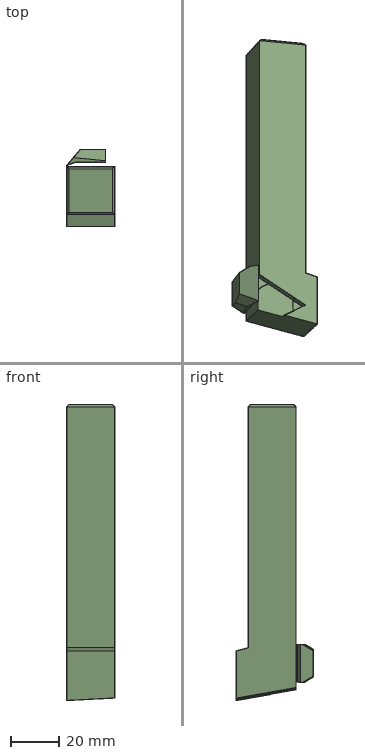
import cadquery as cq
import math

SHANK_SIZE = 20.0
TOTAL_HEIGHT = 123.0
TOP_CHAMFER = 1.0

FOOT_STEP = 5.0
FOOT_TOP_HEIGHT = 22.0
FOOT_TOP_ANGLE = 15.0
END_SLOPE_Y = 10.0
END_SLOPE_X = 3.0

POCKET_TIP_Y = -19.8
POCKET_TIP_Z = 7.85
POCKET_HALF_ANGLE = 30.0
POCKET_DEPTH = 2.5
POCKET_WALL_ANGLE = 4.0
RELIEF_EXTRA_DEPTH = 0.5
TIP_RELIEF_LENGTH = 4.6
CORNER_RELIEF_Y = -4.2
SEAT_RADIUS = 8.9
INSERT_CENTER_FROM_TIP = 12.7
SEAT_CENTER_Y = POCKET_TIP_Y + INSERT_CENTER_FROM_TIP
POCKET_REACH = 40.0

CLAMP_END_X = 16.2
CLAMP_OUTER_Y = 7.15
CLAMP_INNER_Y = 1.75
CLAMP_TIP_Y = 0.4
CLAMP_FRONT_ANGLE = 50.0
CLAMP_UNDERCUT_ANGLE = 20.0
CLAMP_BOTTOM_Z = 7.45
CLAMP_TOP_Z = 23.4
BEVEL_START_Y = 4.0
BEVEL_SLOPE_Y = math.tan(math.radians(30.0))
BEVEL_SLOPE_X = 0.058

FRONT_RELIEF_SLOPE_Y = 0.97
FRONT_RELIEF_SLOPE_X = -0.39
FRONT_RELIEF_HEIGHT = 0.25

CUTTER_SIZE = 200.0


def half_space(origin, normal):
    """Large block that fills the side of a plane toward which the normal points."""
    plane = cq.Plane(origin=origin, normal=normal)
    return cq.Workplane(plane).rect(CUTTER_SIZE, CUTTER_SIZE).extrude(CUTTER_SIZE)


def make_bar():
    """Shank and foot as one profile across X, with chamfered top and doubly sloped lower end."""
    foot_y = -SHANK_SIZE - FOOT_STEP
    foot_drop = FOOT_STEP * math.tan(math.radians(FOOT_TOP_ANGLE))
    bar = (
        cq.Workplane("YZ")
        .moveTo(0, 0)
        .lineTo(0, TOTAL_HEIGHT)
        .lineTo(-SHANK_SIZE, TOTAL_HEIGHT)
        .lineTo(-SHANK_SIZE, FOOT_TOP_HEIGHT)
        .lineTo(foot_y, FOOT_TOP_HEIGHT - foot_drop)
        .lineTo(foot_y, 0)
        .close()
        .extrude(SHANK_SIZE)
    )
    bar = bar.faces(">Z").chamfer(TOP_CHAMFER)
    slope_x = math.tan(math.radians(END_SLOPE_X))
    slope_y = math.tan(math.radians(END_SLOPE_Y))
    return bar.cut(half_space((0, foot_y, 0), (slope_x, slope_y, -1)))


def pocket_prism(depth, taper=0.0):
    """Triangular prism that opens at X = 0 and runs past the outer face and the lower end."""
    half_width = POCKET_REACH * math.tan(math.radians(POCKET_HALF_ANGLE))
    far_y = POCKET_TIP_Y + POCKET_REACH
    return (
        cq.Workplane("YZ")
        .moveTo(POCKET_TIP_Y, POCKET_TIP_Z)
        .lineTo(far_y, POCKET_TIP_Z - half_width)
        .lineTo(far_y, POCKET_TIP_Z + half_width)
        .close()
        .extrude(depth, taper=taper)
    )


def make_pocket():
    """Tapered seat, plus deeper straight-walled reliefs at its point and its upper corner."""
    seat = pocket_prism(POCKET_DEPTH, POCKET_WALL_ANGLE)
    deep = pocket_prism(POCKET_DEPTH + RELIEF_EXTRA_DEPTH)
    tip_relief = deep.intersect(half_space((0, POCKET_TIP_Y + TIP_RELIEF_LENGTH, 0), (0, -1, 0)))
    seat_disc = (
        cq.Workplane("YZ")
        .center(SEAT_CENTER_Y, POCKET_TIP_Z)
        .circle(SEAT_RADIUS)
        .extrude(POCKET_DEPTH + RELIEF_EXTRA_DEPTH)
    )
    corner_relief = (
        deep.intersect(half_space((0, CORNER_RELIEF_Y, 0), (0, 1, 0)))
        .intersect(half_space((0, 0, POCKET_TIP_Z), (0, 0, 1)))
        .cut(seat_disc)
    )
    return seat.union(tip_relief).union(corner_relief)


def make_holder():
    """Bar with the insert pocket cut into its X = 0 face."""
    return make_bar().cut(make_pocket())


def make_clamp():
    """Block with a slanted front, an undercut toward the shank and three sloped cuts at its ends."""
    front_top_x = (CLAMP_OUTER_Y - CLAMP_TIP_Y) / math.tan(math.radians(CLAMP_FRONT_ANGLE))
    undercut_x = (CLAMP_INNER_Y - CLAMP_TIP_Y) / math.tan(math.radians(CLAMP_UNDERCUT_ANGLE))
    block = (
        cq.Workplane("XY", origin=(0, 0, CLAMP_BOTTOM_Z))
        .moveTo(0, CLAMP_TIP_Y)
        .lineTo(undercut_x, CLAMP_INNER_Y)
        .lineTo(CLAMP_END_X, CLAMP_INNER_Y)
        .lineTo(CLAMP_END_X, CLAMP_OUTER_Y)
        .lineTo(front_top_x, CLAMP_OUTER_Y)
        .close()
        .extrude(CLAMP_TOP_Z - CLAMP_BOTTOM_Z)
    )
    top_bevel = half_space((0, BEVEL_START_Y, CLAMP_TOP_Z), (BEVEL_SLOPE_X, BEVEL_SLOPE_Y, 1))
    bottom_bevel = half_space((0, BEVEL_START_Y, CLAMP_BOTTOM_Z), (BEVEL_SLOPE_X, BEVEL_SLOPE_Y, -1))
    front_relief = half_space(
        (0, CLAMP_TIP_Y, CLAMP_BOTTOM_Z + FRONT_RELIEF_HEIGHT),
        (FRONT_RELIEF_SLOPE_X, FRONT_RELIEF_SLOPE_Y, -1),
    )
    return block.cut(top_bevel).cut(bottom_bevel).cut(front_relief)


holder = make_holder()
clamp = make_clamp()
result = cq.Compound.makeCompound([holder.val(), clamp.val()])